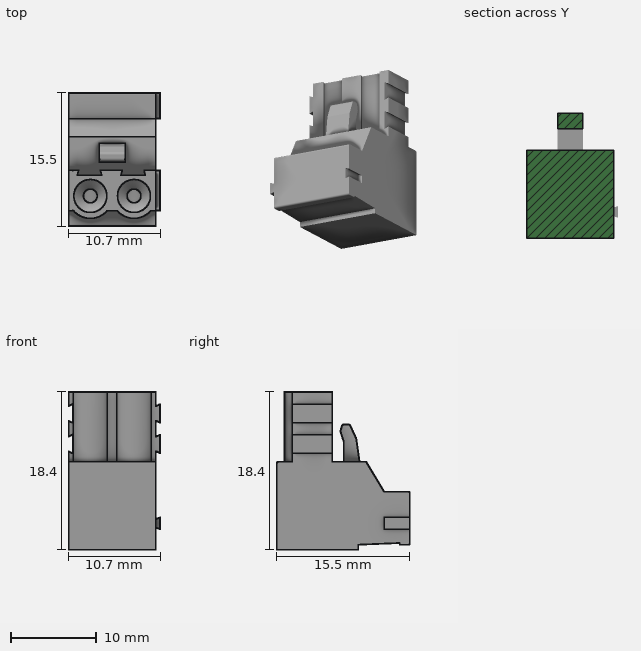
import cadquery as cq


POLES = 2
PITCH = 5.08
WIDTH = POLES * PITCH
LENGTH = 15.5
HEIGHT = 18.4
SHOULDER_Z = 10.28
REAR_TOP_Z = 6.8
SLOPE_TOP_Y = 10.41
SLOPE_FOOT_Y = 12.5
STEP_Y = 9.5
STEP_Z = 0.6
FOOT_Y = 14.3
FOOT_RELIEF = 0.2
EDGE_RADIUS = 0.2

TOWER_FRONT_Y = 1.8
TOWER_REAR_Y = 6.47
TOWER_HEIGHT = HEIGHT - SHOULDER_Z
BARREL_Y = 3.5
BARREL_RADIUS = 2.61
FIRST_POLE_X = PITCH / 2
FUNNEL_MOUTH_RADIUS = 1.92
FUNNEL_FLOOR_RADIUS = 0.8
FUNNEL_DEPTH = FUNNEL_MOUTH_RADIUS - FUNNEL_FLOOR_RADIUS

DOVETAIL_DEPTH = 0.5
TOWER_DOVETAIL_Z = (12.34, 15.89)
TOWER_DOVETAIL_NECK = 1.72
TOWER_DOVETAIL_FLARE = 0.22
REAR_LUG_Z = 3.1
REAR_LUG_NECK = 1.03
REAR_SLOT_Z = 3.29
REAR_SLOT_NECK = 0.94
REAR_DOVETAIL_FLARE = 0.17
MARKER_SLOT_NECK = 2.53
MARKER_SLOT_DEPTH = 0.57
MARKER_SLOT_FLARE = 0.16
MARKER_SLOT_OFFSET = -0.1

LATCH_WIDTH = 3.0
LATCH_X = WIDTH / 2
LATCH_REAR_Y = 9.65
LATCH_FRONT_Y = 7.78
LATCH_BEND_Y = 9.27
LATCH_BEND_Z = 12.95
LATCH_TOP_Z = 14.63
LATCH_TOP_REAR_Y = 8.5
LATCH_TOP_FRONT_Y = 7.62
LATCH_TIP_Y = 7.4
LATCH_TIP_Z = 13.8
LATCH_THROAT_Z = 12.64
LATCH_RADIUS = 0.35


def pole_x(pole):
    return FIRST_POLE_X + pole * PITCH


def box(x0, x1, y0, y1, z0, z1):
    return cq.Workplane("XY").box(x1 - x0, y1 - y0, z1 - z0, centered=False).translate((x0, y0, z0))


def side_dovetail(wall_x, center_z, neck, flare, y0, y1):
    """Prism along Y whose section widens in +X from its neck at wall_x."""
    half_neck = neck / 2
    half_wide = half_neck + flare
    outline = [
        (wall_x, center_z - half_neck),
        (wall_x + DOVETAIL_DEPTH, center_z - half_wide),
        (wall_x + DOVETAIL_DEPTH, center_z + half_wide),
        (wall_x, center_z + half_neck),
    ]
    return cq.Workplane("XZ", origin=(0, y0, 0)).polyline(outline).close().extrude(y0 - y1)


def housing():
    profile = [
        (0, 0),
        (0, SHOULDER_Z),
        (SLOPE_TOP_Y, SHOULDER_Z),
        (SLOPE_FOOT_Y, REAR_TOP_Z),
        (LENGTH, REAR_TOP_Z),
        (LENGTH, STEP_Z),
        (FOOT_Y, STEP_Z),
        (FOOT_Y, STEP_Z + FOOT_RELIEF),
        (STEP_Y, STEP_Z),
        (STEP_Y, 0),
    ]
    body = cq.Workplane("YZ").polyline(profile).close().extrude(WIDTH)
    rounded_corners = [(0, SHOULDER_Z), (LENGTH, REAR_TOP_Z), (LENGTH, STEP_Z)]
    for y, z in rounded_corners:
        edge = cq.selectors.NearestToPointSelector((WIDTH / 2, y, z))
        body = body.edges("|X").edges(edge).fillet(EDGE_RADIUS)
    return body


def tower():
    block = box(0, WIDTH, TOWER_FRONT_Y, TOWER_REAR_Y, SHOULDER_Z, HEIGHT)
    for pole in range(POLES):
        barrel = (
            cq.Workplane("XY", origin=(pole_x(pole), BARREL_Y, SHOULDER_Z))
            .circle(BARREL_RADIUS)
            .extrude(TOWER_HEIGHT)
        )
        front_space = box(0, WIDTH, 0, TOWER_FRONT_Y, SHOULDER_Z, HEIGHT)
        block = block.union(barrel.intersect(front_space))
    return block


def funnel(pole):
    return cq.Workplane(
        cq.Solid.makeCone(
            FUNNEL_MOUTH_RADIUS,
            FUNNEL_FLOOR_RADIUS,
            FUNNEL_DEPTH,
            pnt=cq.Vector(pole_x(pole), BARREL_Y, HEIGHT),
            dir=cq.Vector(0, 0, -1),
        )
    )


def marker_slot(pole):
    """Vertical dovetail slot in the rear wall of the tower."""
    center_x = pole_x(pole) + MARKER_SLOT_OFFSET
    half_neck = MARKER_SLOT_NECK / 2
    half_wide = half_neck + MARKER_SLOT_FLARE
    floor_y = TOWER_REAR_Y - MARKER_SLOT_DEPTH
    outline = [
        (center_x - half_neck, TOWER_REAR_Y),
        (center_x - half_wide, floor_y),
        (center_x + half_wide, floor_y),
        (center_x + half_neck, TOWER_REAR_Y),
    ]
    return cq.Workplane("XY", origin=(0, 0, SHOULDER_Z)).polyline(outline).close().extrude(TOWER_HEIGHT)


def latch():
    profile = [
        (LATCH_REAR_Y, SHOULDER_Z),
        (LATCH_BEND_Y, LATCH_BEND_Z),
        (LATCH_TOP_REAR_Y, LATCH_TOP_Z),
        (LATCH_TOP_FRONT_Y, LATCH_TOP_Z),
        (LATCH_TIP_Y, LATCH_TIP_Z),
        (LATCH_FRONT_Y, LATCH_THROAT_Z),
        (LATCH_FRONT_Y, SHOULDER_Z),
    ]
    start_x = LATCH_X - LATCH_WIDTH / 2
    lever = cq.Workplane("YZ", origin=(start_x, 0, 0)).polyline(profile).close().extrude(LATCH_WIDTH)
    return lever.faces(">Z").edges("|X").fillet(LATCH_RADIUS)


def tower_dovetail(wall_x, center_z):
    return side_dovetail(
        wall_x, center_z, TOWER_DOVETAIL_NECK, TOWER_DOVETAIL_FLARE, TOWER_FRONT_Y, TOWER_REAR_Y
    )


def rear_dovetail(wall_x, center_z, neck):
    return side_dovetail(wall_x, center_z, neck, REAR_DOVETAIL_FLARE, SLOPE_FOOT_Y, LENGTH)


def connector():
    part = housing().union(tower()).union(latch())
    for pole in range(POLES):
        part = part.cut(funnel(pole)).cut(marker_slot(pole))
    for center_z in TOWER_DOVETAIL_Z:
        part = part.cut(tower_dovetail(0, center_z))
        part = part.union(tower_dovetail(WIDTH, center_z))
    part = part.cut(rear_dovetail(0, REAR_SLOT_Z, REAR_SLOT_NECK))
    return part.union(rear_dovetail(WIDTH, REAR_LUG_Z, REAR_LUG_NECK))


result = connector()